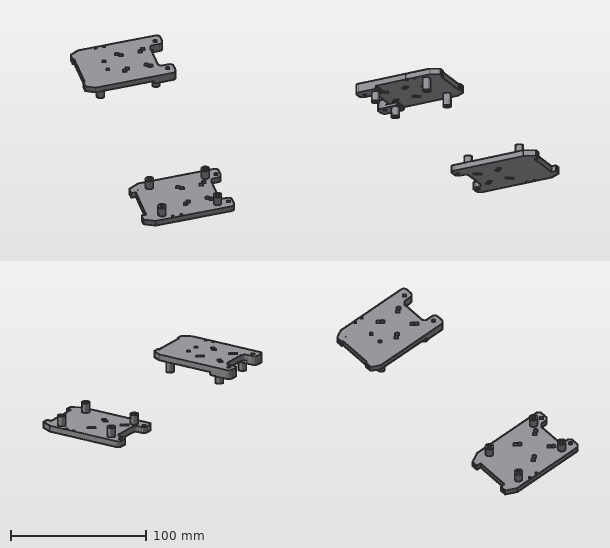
import cadquery as cq


OVERALL_WIDTH = 196.0
OVERALL_HEIGHT = 14.3
PLATE_LENGTH = 69.5
PLATE_THICKNESS = 4.7
HALF_WIDTH = 22.5
EAR_INNER_X = 12.2
CORNER_RADIUS = 3.0
NOTCH_HALF_WIDTH = 13.3

EAR_HOLE_X = 16.3
EAR_HOLE_DIAMETER = 2.5

MOUNT_HOLE_DIAMETER = 3.1
MOUNT_OUTER_X = 10.0
MOUNT_INNER_X = 8.0
MOUNT_STEP = 2.5
MOUNT_ROW_PITCH = 20.0

SIDE_HOLE_DIAMETER = 1.6
SIDE_HOLE_X = 21.0
SIDE_HOLE_PITCH = 6.5

POST_DIAMETER = 5.9
POST_BORE_DIAMETER = 2.5
REAR_POST_X = 15.7
FRONT_POST_X = 16.3
POST_PITCH_Y = 43.1

FOOT_HOLE_DIAMETER = 3.0
FOOT_HOLE_X = 15.7
FOOT_HOLE_DEPTH = 5.9

HANGING_TRIM = 0.2
HANGING_SHIFT = 2.0
HANGING_POST_SHIFT = 2.4
HANGING_NOTCH_DEPTH = 1.2
HANGING_FOOT_OUTER_X = 18.8
HANGING_CHAMFER = 6.9
HANGING_CHAMFER_FILLET = 1.2
PAD_LENGTH = 17.8
PAD_DROP = 2.4
PAD_END_CHAMFER = 1.2
CENTRE_HOLE_X = 4.9
CENTRE_HOLE_SETBACK = 48.0
CENTRE_HOLE_DIAMETER = 2.5

STANDING_BOTTOM_Z = 2.2
STANDING_NOTCH_DEPTH = 3.5
STANDING_FOOT_OUTER_X = 18.5
STANDING_CHAMFER = 8.2
EAR_HOLE_SETBACK = 3.1
SLOT_DEPTH = 8.8
MOUNT_SETBACK = 14.5
SIDE_HOLE_SETBACK = 41.2
REAR_POST_SETBACK = 11.5

HANGING_LEFT_HALF = HALF_WIDTH - HANGING_TRIM
STANDING_AXIS_X = OVERALL_WIDTH - HALF_WIDTH
HANGING_BOTTOM_Z = OVERALL_HEIGHT - PLATE_THICKNESS
STANDING_TOP_Z = STANDING_BOTTOM_Z + PLATE_THICKNESS


def round_corners(plate, corners, radius):
    """Fillet the upright plate edges at the given outline corners."""
    for x, y in corners:
        corner = cq.selectors.NearestToPointSelector((x, y, PLATE_THICKNESS / 2))
        plate = plate.edges("|Z").edges(corner).fillet(radius)
    return plate


def plate_blank(left_half, foot_outer_x, chamfer, notch_depth, slot_depth):
    """Flat plate from Z = 0 up, with a slot between two ears and a notch between two feet."""
    front = -PLATE_LENGTH
    outline = [
        (-left_half, 0),
        (-left_half, front + chamfer),
        (-foot_outer_x, front),
        (-NOTCH_HALF_WIDTH, front),
        (-NOTCH_HALF_WIDTH, front + notch_depth),
        (NOTCH_HALF_WIDTH, front + notch_depth),
        (NOTCH_HALF_WIDTH, front),
        (foot_outer_x, front),
        (HALF_WIDTH, front + chamfer),
        (HALF_WIDTH, 0),
        (EAR_INNER_X, 0),
        (EAR_INNER_X, -slot_depth),
        (-EAR_INNER_X, -slot_depth),
        (-EAR_INNER_X, 0),
    ]
    plate = cq.Workplane("XY").polyline(outline).close().extrude(PLATE_THICKNESS)
    slot_floor_corners = [(-EAR_INNER_X, -slot_depth), (EAR_INNER_X, -slot_depth)]
    ear_corners = [(x, 0) for x in (-left_half, -EAR_INNER_X, EAR_INNER_X, HALF_WIDTH)]
    return round_corners(plate, slot_floor_corners + ear_corners, CORNER_RADIUS)


def cylinders(points, diameter, bottom_z, height):
    """Upright cylinders standing on bottom_z."""
    base = cq.Workplane("XY", origin=(0, 0, bottom_z))
    return base.pushPoints(points).circle(diameter / 2).extrude(height)


def mirrored(x, setback):
    """The two points at this setback, one on each side of the plate axis."""
    return [(-x, -setback), (x, -setback)]


def mount_points(setback):
    """Four pairs of overlapping holes; the inner hole of each pair lies towards the middle."""
    last = setback + MOUNT_ROW_PITCH
    outer = mirrored(MOUNT_OUTER_X, setback) + mirrored(MOUNT_OUTER_X, last)
    inner = mirrored(MOUNT_INNER_X, setback + MOUNT_STEP) + mirrored(MOUNT_INNER_X, last - MOUNT_STEP)
    return outer + inner


def post_points(rear_setback):
    """Rear and front post centres; the front pair stands slightly wider apart."""
    return mirrored(REAR_POST_X, rear_setback) + mirrored(FRONT_POST_X, rear_setback + POST_PITCH_Y)


def drill_common_holes(plate, shift, side, bottom_z):
    """Ear, mounting and side holes through the plate; side is -1 for left, +1 for right."""
    side_setbacks = [SIDE_HOLE_SETBACK + shift + i * SIDE_HOLE_PITCH for i in range(2)]
    side_points = [(side * SIDE_HOLE_X, -setback) for setback in side_setbacks]
    for points, diameter in (
        (mirrored(EAR_HOLE_X, EAR_HOLE_SETBACK + shift), EAR_HOLE_DIAMETER),
        (mount_points(MOUNT_SETBACK + shift), MOUNT_HOLE_DIAMETER),
        (side_points, SIDE_HOLE_DIAMETER),
    ):
        plate = plate.cut(cylinders(points, diameter, bottom_z, PLATE_THICKNESS - bottom_z))
    return plate


def drill_foot_holes(plate):
    """Blind holes into the front faces of the two feet."""
    front_plane = cq.Workplane("XZ", origin=(0, -PLATE_LENGTH, PLATE_THICKNESS / 2))
    points = [(-FOOT_HOLE_X, 0), (FOOT_HOLE_X, 0)]
    return plate.cut(front_plane.pushPoints(points).circle(FOOT_HOLE_DIAMETER / 2).extrude(-FOOT_HOLE_DEPTH))


def add_posts(plate, rear_setback, bottom_z, height):
    """Four round posts, each bored over its whole height but not into the plate."""
    points = post_points(rear_setback)
    plate = plate.union(cylinders(points, POST_DIAMETER, bottom_z, height))
    return plate.cut(cylinders(points, POST_BORE_DIAMETER, bottom_z, height))


def ear_pads(blank):
    """Thickening below the ears, with the plate's rounded ear outline and a chamfered front end."""
    profile = [
        (0, 0),
        (0, -PAD_DROP),
        (PAD_END_CHAMFER - PAD_LENGTH, -PAD_DROP),
        (-PAD_LENGTH, PAD_END_CHAMFER - PAD_DROP),
        (-PAD_LENGTH, 0),
    ]
    bars = cq.Workplane("YZ").polyline(profile).close().extrude(HALF_WIDTH, both=True)
    gap = cq.Workplane("XY").box(2 * EAR_INNER_X, 2 * PAD_LENGTH, 2 * PAD_DROP)
    ear_outline = blank.translate((0, 0, -PLATE_THICKNESS))
    return bars.cut(gap).intersect(ear_outline)


def hanging_plate():
    blank = plate_blank(
        HANGING_LEFT_HALF,
        HANGING_FOOT_OUTER_X,
        HANGING_CHAMFER,
        HANGING_NOTCH_DEPTH,
        SLOT_DEPTH + HANGING_SHIFT,
    )
    foot_corners = [(x, -PLATE_LENGTH) for x in (-HANGING_FOOT_OUTER_X, HANGING_FOOT_OUTER_X)]
    side_corners = [(x, HANGING_CHAMFER - PLATE_LENGTH) for x in (-HANGING_LEFT_HALF, HALF_WIDTH)]
    blank = round_corners(blank, foot_corners + side_corners, HANGING_CHAMFER_FILLET)
    plate = blank.union(ear_pads(blank))
    plate = add_posts(plate, REAR_POST_SETBACK + HANGING_POST_SHIFT, -HANGING_BOTTOM_Z, HANGING_BOTTOM_Z)
    plate = drill_common_holes(plate, shift=HANGING_SHIFT, side=-1, bottom_z=-PAD_DROP)
    centre_points = mirrored(CENTRE_HOLE_X, CENTRE_HOLE_SETBACK)
    plate = plate.cut(cylinders(centre_points, CENTRE_HOLE_DIAMETER, 0, PLATE_THICKNESS))
    plate = drill_foot_holes(plate)
    return plate.translate((HANGING_LEFT_HALF, 0, HANGING_BOTTOM_Z))


def standing_plate():
    plate = plate_blank(
        HALF_WIDTH,
        STANDING_FOOT_OUTER_X,
        STANDING_CHAMFER,
        STANDING_NOTCH_DEPTH,
        SLOT_DEPTH,
    )
    plate = add_posts(plate, REAR_POST_SETBACK, PLATE_THICKNESS, OVERALL_HEIGHT - STANDING_TOP_Z)
    plate = drill_common_holes(plate, shift=0, side=1, bottom_z=0)
    plate = drill_foot_holes(plate)
    return plate.translate((STANDING_AXIS_X, 0, STANDING_BOTTOM_Z))


hanging = hanging_plate().solids()
standing = standing_plate().solids()
result = cq.Compound.makeCompound([hanging.val(), standing.val()])